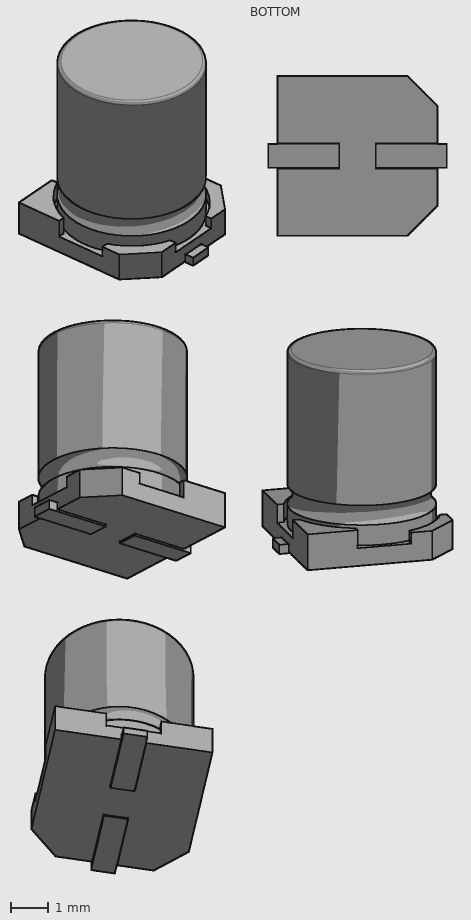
import cadquery as cq

total_height = 5.45
standoff = 0.05

base_side = 4.3
base_half = base_side / 2
base_top = 1.06
low_corner_top = 0.86
corner_chamfer = 0.81

pocket_floor = 0.55
pocket_diameter = 4.2
notch_width = 1.505

can_radius = 2.0
rim_fillet = 0.1
groove_bottom = 1.115
groove_top = 1.67
groove_depth = 0.135

lead_span = 4.8
lead_inner_end = 0.49
lead_width = 0.65
lead_thickness = 0.26
lead_slot_width = 0.685


def block(x_range, y_width, z_range):
    """Box between two X and two Z positions, centred on Y."""
    x_size = x_range[1] - x_range[0]
    z_size = z_range[1] - z_range[0]
    corner = cq.Workplane("XY", origin=(x_range[0], 0, z_range[0]))
    return corner.box(x_size, y_width, z_size, centered=(False, True, False))


def make_base():
    """Plastic base with chamfered +X corners, round pocket and side notches."""
    base = block((-base_half, base_half), base_side, (standoff, base_top))
    base = base.edges("|Z and >X").chamfer(corner_chamfer)
    base = base.cut(block((0, base_half), base_side, (low_corner_top, base_top)))

    pocket = cq.Workplane("XY", origin=(0, 0, pocket_floor)).circle(pocket_diameter / 2)
    base = base.cut(pocket.extrude(base_top - pocket_floor))

    notch = block((-base_half, base_half), notch_width, (pocket_floor, base_top))
    for angle in (0, 90):
        base = base.cut(notch.rotate((0, 0, 0), (0, 0, 1), angle))
    return base


def make_can():
    """Can standing on the pocket floor, with a rolled groove and a rounded rim."""
    groove_middle = (groove_bottom + groove_top) / 2
    profile = (
        cq.Workplane("XZ")
        .moveTo(0, pocket_floor)
        .lineTo(can_radius, pocket_floor)
        .lineTo(can_radius, groove_bottom)
        .threePointArc((can_radius - groove_depth, groove_middle), (can_radius, groove_top))
        .lineTo(can_radius, total_height)
        .lineTo(0, total_height)
        .close()
    )
    can = profile.revolve(360, (0, 0, 0), (0, 1, 0))
    return can.faces(">Z").edges().fillet(rim_fillet)


base = make_base()
leads = []
for side in (-1, 1):
    inner_to_outer = sorted((side * lead_inner_end, side * lead_span / 2))
    base = base.cut(block(inner_to_outer, lead_slot_width, (0, lead_thickness)))
    leads.append(block(inner_to_outer, lead_width, (0, lead_thickness)))

result = base.union(make_can())
for lead in leads:
    result = result.union(lead)